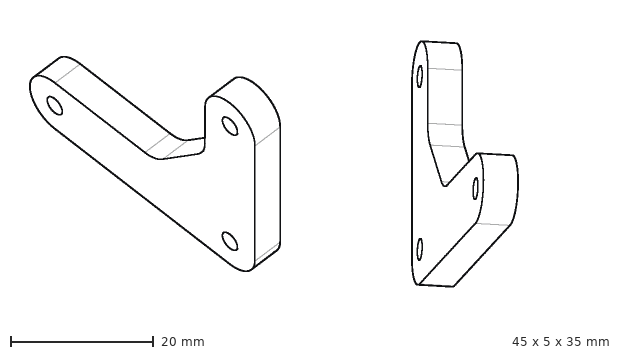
import cadquery as cq

length = 45.0
height = 35.0
thickness = 5.0
arm_width = 10.0
gusset_leg = 10.0
gusset_fillet = 5.0
hole_diameter = 3.0

end_radius = arm_width / 2
arm_reach_x = length - arm_width
arm_reach_z = height - arm_width


def make_plate():
    """L-shaped plate with rounded ends and a rounded outer corner."""
    diagonal = end_radius * 2 ** -0.5
    outline = (
        cq.Workplane("XZ")
        .moveTo(-arm_reach_x, -end_radius)
        .lineTo(0, -end_radius)
        .threePointArc((diagonal, -diagonal), (end_radius, 0))
        .lineTo(end_radius, arm_reach_z)
        .threePointArc((0, arm_reach_z + end_radius), (-end_radius, arm_reach_z))
        .lineTo(-end_radius, end_radius + gusset_leg)
        .lineTo(-end_radius - gusset_leg, end_radius)
        .lineTo(-arm_reach_x, end_radius)
        .threePointArc((-arm_reach_x - end_radius, 0), (-arm_reach_x, -end_radius))
        .close()
    )
    return outline.extrude(-thickness)


def blend_gusset(plate):
    """Round the two concave edges where the web meets the arms."""
    web_ends = [
        (-end_radius, thickness / 2, end_radius + gusset_leg),
        (-end_radius - gusset_leg, thickness / 2, end_radius),
    ]
    for point in web_ends:
        plate = plate.edges(cq.selectors.NearestToPointSelector(point)).fillet(gusset_fillet)
    return plate


def make_holes():
    """Through holes concentric with the three rounded corners."""
    centers = [(0, 0), (-arm_reach_x, 0), (0, arm_reach_z)]
    return cq.Workplane("XZ").pushPoints(centers).circle(hole_diameter / 2).extrude(-thickness)


result = blend_gusset(make_plate()).cut(make_holes())